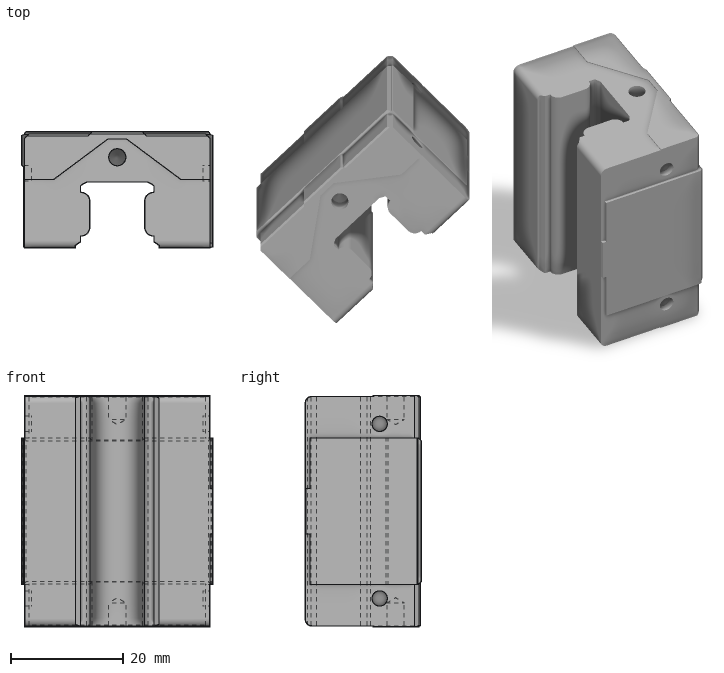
import cadquery as cq
import math


WIDTH = 34.0
HEIGHT = 20.7
LENGTH = 41.2
BACK = HEIGHT / 2
FRONT = -HEIGHT / 2
END = LENGTH / 2

CORE_HALF_LENGTH = 13.0
CORE_EDGE_CHAMFER = 0.5
FLANK = WIDTH / 2
RELIEF = 0.35
LEDGE_BOTTOM = 5.97
CORNER_RUN = 0.8
CORNER_DROP = 0.58
CORE_FOOT = 0.82
TONGUE_HALF_LENGTH = 4.05
TONGUE_SLOPE = 0.15

CAP_HALF_WIDTH = 16.5
CAP_BACK_GAP = 0.45
CAP_CORNER = 0.75
CAP_CHAMFER = 0.35
RIB_BACK_GAP = 0.12
RIB_HALF_WIDTH = 4.55
RIB_ROOT = 1.25
SEAL_STEP = 0.15
SEAL_RADIUS = 1.25
SEAL_SHOULDER_HALF = 11.37
SEAL_SHOULDER = 8.55
SEAL_PEAK_HALF = 1.65
SEAL_PEAK = 1.3

GREASE_DIA = 3.05
GREASE_DROP = 4.57
GREASE_DEPTH = 4.1
DRILL_ANGLE = 118.0
SIDE_DIA = 2.7
SIDE_DROP = 7.4
SIDE_Z = 15.55
SIDE_DEPTH = 1.25

SLOT_MOUTH = 7.45
SLOT_GROOVE = 6.5
SLOT_NECK = 4.85
SLOT_FLOOR_HALF = 5.45
SLOT_FLOOR = 9.02
GROOVE_TOP = 9.7
GROOVE_BEVEL = 0.2
NECK_TOP = 12.45
NECK_BOTTOM = 16.97
MOUTH_GROOVE_BOTTOM = 19.6
MOUTH_BEVEL_BOTTOM = 20.25


def prism_z(points, z_low, z_high):
    """Extrude a closed XY outline from z_low to z_high."""
    return cq.Workplane("XY").workplane(offset=z_low).polyline(points).close().extrude(z_high - z_low)


def block(x_range, y_range, z_range):
    """Box between two limits along each axis."""
    sizes = [high - low for low, high in (x_range, y_range, z_range)]
    corner = (x_range[0], y_range[0], z_range[0])
    return cq.Workplane("XY").box(*sizes, centered=False).translate(corner)


def both_ends(solid):
    """The solid together with its mirror image in the mid-length plane."""
    return solid.union(solid.mirror("XY"))


def core():
    ledge_y = BACK - LEDGE_BOTTOM
    outline = [
        (CORNER_RUN - FLANK, BACK),
        (RELIEF - FLANK, BACK - CORNER_DROP),
        (RELIEF / 2 - FLANK, BACK - CORNER_DROP),
        (-FLANK, BACK - CORNER_DROP - RELIEF / 2),
        (-FLANK, ledge_y),
        (RELIEF - FLANK, ledge_y - RELIEF),
        (RELIEF - FLANK, FRONT + TONGUE_SLOPE),
        (-CAP_HALF_WIDTH, FRONT),
        (CAP_HALF_WIDTH, FRONT),
        (FLANK, FRONT + TONGUE_SLOPE),
        (FLANK, BACK - CORNER_DROP - RELIEF / 2),
        (FLANK - RELIEF / 2, BACK - CORNER_DROP),
        (FLANK - RELIEF, BACK - CORNER_DROP),
        (FLANK - CORNER_RUN, BACK),
    ]
    body = prism_z(outline, -CORE_HALF_LENGTH, CORE_HALF_LENGTH)
    body = body.faces(">Y").edges("|X").chamfer(CORE_EDGE_CHAMFER)
    foot_notch = block(
        (-WIDTH, WIDTH), (2 * FRONT, FRONT + CORE_FOOT), (TONGUE_HALF_LENGTH, LENGTH)
    )
    return body.cut(both_ends(foot_notch))


def chamfered_slab(half_width, flare, back_y, front_y):
    """Full-length slab whose back end edges are bevelled; its sides flare out toward -Y."""
    depth = back_y - front_y
    side_drop = min(flare, depth)
    outline = [
        (-half_width, back_y),
        (half_width, back_y),
        (half_width + flare, back_y - side_drop),
        (half_width + flare, front_y),
        (-half_width - flare, front_y),
        (-half_width - flare, back_y - side_drop),
    ]
    return prism_z(outline, -END, END).faces(">Y").edges("|X").chamfer(CAP_CHAMFER)


def seal_recess():
    """Ends step down below the cap's upper panel, where the end seal sits."""
    shoulder_y = BACK - SEAL_SHOULDER
    peak_y = BACK - SEAL_PEAK
    outline = [
        (-WIDTH, 2 * FRONT),
        (-WIDTH, shoulder_y),
        (-SEAL_SHOULDER_HALF, shoulder_y),
        (-SEAL_PEAK_HALF, peak_y),
        (SEAL_PEAK_HALF, peak_y),
        (SEAL_SHOULDER_HALF, shoulder_y),
        (WIDTH, shoulder_y),
        (WIDTH, 2 * FRONT),
    ]
    return both_ends(prism_z(outline, END - SEAL_STEP, LENGTH))


def plastic():
    cap_back = BACK - CAP_BACK_GAP
    body = chamfered_slab(CAP_HALF_WIDTH - CAP_CORNER, CAP_CORNER, cap_back, FRONT)
    body = body.cut(seal_recess())
    body = body.faces("<Y").edges("|X").fillet(SEAL_RADIUS)
    rib_flare = CAP_BACK_GAP - RIB_BACK_GAP + CAP_CHAMFER
    rib = chamfered_slab(RIB_HALF_WIDTH, rib_flare, BACK - RIB_BACK_GAP, BACK - RIB_ROOT)
    return body.union(rib)


def slot_half():
    """+X half of the rail slot."""
    def y(depth):
        return BACK - depth

    neck_radius = SLOT_GROOVE - SLOT_NECK
    arc_inset = neck_radius * (1 - math.sqrt(0.5))
    round_mid = SLOT_NECK + arc_inset
    shoulder = NECK_TOP - neck_radius
    foot = NECK_BOTTOM + neck_radius
    profile = (
        cq.Workplane("XY").workplane(offset=-LENGTH)
        .moveTo(0, y(SLOT_FLOOR))
        .lineTo(SLOT_FLOOR_HALF, y(SLOT_FLOOR))
        .lineTo(SLOT_GROOVE - GROOVE_BEVEL, y(GROOVE_TOP - GROOVE_BEVEL))
        .lineTo(SLOT_GROOVE, y(GROOVE_TOP))
        .lineTo(SLOT_GROOVE, y(shoulder))
        .threePointArc((round_mid, y(shoulder + arc_inset)), (SLOT_NECK, y(NECK_TOP)))
        .lineTo(SLOT_NECK, y(NECK_BOTTOM))
        .threePointArc((round_mid, y(foot - arc_inset)), (SLOT_GROOVE, y(foot)))
        .lineTo(SLOT_GROOVE, y(MOUTH_GROOVE_BOTTOM))
        .lineTo(SLOT_MOUTH, y(MOUTH_BEVEL_BOTTOM))
        .lineTo(SLOT_MOUTH, 2 * FRONT)
        .lineTo(0, 2 * FRONT)
        .close()
    )
    return profile.extrude(2 * LENGTH)


def rail_slot():
    half = slot_half()
    return half.union(half.mirror("YZ"))


def grease_holes():
    """Blind holes with a drill point, one in each end."""
    radius = GREASE_DIA / 2
    point = radius / math.tan(math.radians(DRILL_ANGLE / 2))
    top = END - SEAL_STEP
    floor = top - GREASE_DEPTH
    hole = (
        cq.Workplane("XZ")
        .polyline([(0, LENGTH), (radius, LENGTH), (radius, floor), (0, floor - point)])
        .close()
        .revolve(360, (0, 0), (0, 1))
        .translate((0, BACK - GREASE_DROP, 0))
    )
    return both_ends(hole)


def side_holes():
    """Flat-bottomed round pockets in both flanks of both caps."""
    hole = (
        cq.Workplane("YZ", origin=(CAP_HALF_WIDTH - SIDE_DEPTH, BACK - SIDE_DROP, SIDE_Z))
        .circle(SIDE_DIA / 2)
        .extrude(WIDTH)
    )
    return both_ends(hole.union(hole.mirror("YZ")))


result = core().union(plastic())
result = result.cut(rail_slot()).cut(grease_holes()).cut(side_holes())